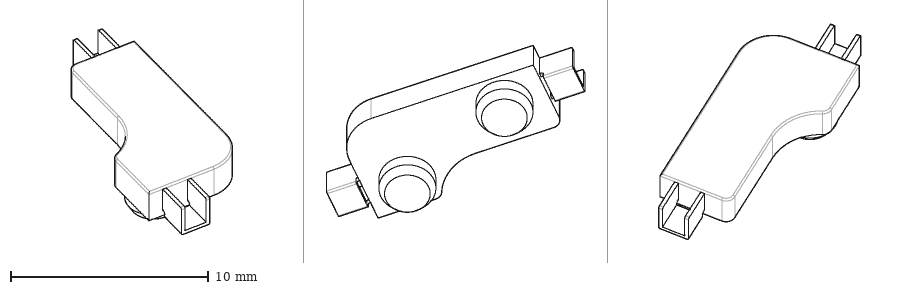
import cadquery as cq
import math

total_length = 14.5
total_height = 3.05

housing_start = 1.81
housing_length = 10.88
housing_end = housing_start + housing_length
housing_width = 5.89
housing_bottom = 1.23
housing_height = total_height - housing_bottom
step_y = 1.88
cove_start = 6.61
cove_radius = 2.71
large_corner_radius = 2.0
small_corner_radius = 0.5
top_edge_radius = 0.1

peg_diameter = 2.9
peg_tip_diameter = 2.32
peg_tip_height = 0.5
peg_xs = (4.07, 10.41)

terminal_ys = (4.2, 1.67)
terminal_width = 1.7
terminal_bottom = 1.19
terminal_top = total_height - top_edge_radius
terminal_thickness = 0.22
terminal_bend_radius = 0.1
terminal_tip_radius = 0.1
notch_length = 0.2
notch_height = 0.39
notch_radius = 0.12


def make_housing_block():
    """Stepped plate with a cove tangent to its narrow front edge."""
    cove_center_y = step_y - cove_radius
    cove_end = cove_start + math.sqrt(cove_radius**2 - cove_center_y**2)
    half_angle = math.asin((cove_end - cove_start) / cove_radius) / 2
    cove_middle = (
        cove_start + cove_radius * math.sin(half_angle),
        cove_center_y + cove_radius * math.cos(half_angle),
    )
    block = (
        cq.Workplane("XY", origin=(0, 0, housing_bottom))
        .moveTo(housing_start, step_y)
        .lineTo(cove_start, step_y)
        .threePointArc(cove_middle, (cove_end, 0))
        .lineTo(housing_end, 0)
        .lineTo(housing_end, housing_width)
        .lineTo(housing_start, housing_width)
        .close()
        .extrude(housing_height)
    )

    def corner(x, y):
        return cq.selectors.NearestToPointSelector((x, y, housing_bottom + housing_height / 2))

    block = block.edges(corner(housing_end, housing_width)).fillet(large_corner_radius)
    block = block.edges(corner(housing_start, step_y)).fillet(small_corner_radius)
    block = block.edges(corner(cove_end, 0)).fillet(small_corner_radius)
    return block.faces(">Z").edges().fillet(top_edge_radius)


def make_peg(x, y):
    """Round peg with a tapered tip, ending at the underside of the housing."""
    return (
        cq.Workplane("XZ", origin=(x, y, 0))
        .lineTo(peg_tip_diameter / 2, 0)
        .lineTo(peg_diameter / 2, peg_tip_height)
        .lineTo(peg_diameter / 2, housing_bottom)
        .lineTo(0, housing_bottom)
        .close()
        .revolve(360, (0, 0, 0), (0, 1, 0))
    )


def make_housing():
    """Housing with its two pegs, as one solid."""
    housing = make_housing_block()
    for x, y in zip(peg_xs, terminal_ys):
        housing = housing.union(make_peg(x, y))
    return housing


def make_terminal(tip_x, root_x, center_y):
    """U channel running from its free tip to the housing face at root_x."""
    length = abs(root_x - tip_x)
    middle_x = (tip_x + root_x) / 2
    inward = math.copysign(1, root_x - tip_x)
    height = terminal_top - terminal_bottom

    channel = (
        cq.Workplane("XY", origin=(middle_x, center_y, terminal_bottom))
        .box(length, terminal_width, height, centered=(True, True, False))
        .edges("|X and <Z")
        .fillet(terminal_bend_radius)
    )
    tip_side = "<X" if inward > 0 else ">X"
    channel = channel.faces(tip_side).edges(">Z").fillet(terminal_tip_radius)

    cavity = cq.Workplane("XY", origin=(middle_x, center_y, terminal_bottom + terminal_thickness)).box(
        length, terminal_width - 2 * terminal_thickness, height, centered=(True, True, False)
    )

    notch_top = terminal_bottom + notch_height
    notch_tip_x = root_x - inward * notch_length
    round_offset = notch_radius * (1 - math.sqrt(0.5))
    notch = (
        cq.Workplane("XZ", origin=(0, center_y, 0))
        .moveTo(root_x, terminal_bottom)
        .lineTo(root_x, notch_top)
        .lineTo(notch_tip_x + inward * notch_radius, notch_top)
        .threePointArc(
            (notch_tip_x + inward * round_offset, notch_top - round_offset),
            (notch_tip_x, notch_top - notch_radius),
        )
        .lineTo(notch_tip_x, terminal_bottom)
        .close()
        .extrude(terminal_width / 2, both=True)
    )
    return channel.cut(cavity).cut(notch)


housing = make_housing()

terminal_spans = ((0, housing_start), (total_length, housing_end))
terminals = []
for (tip_x, root_x), center_y in zip(terminal_spans, terminal_ys):
    terminals.append(make_terminal(tip_x, root_x, center_y).val())

result = cq.Compound.makeCompound([housing.val(), *terminals])